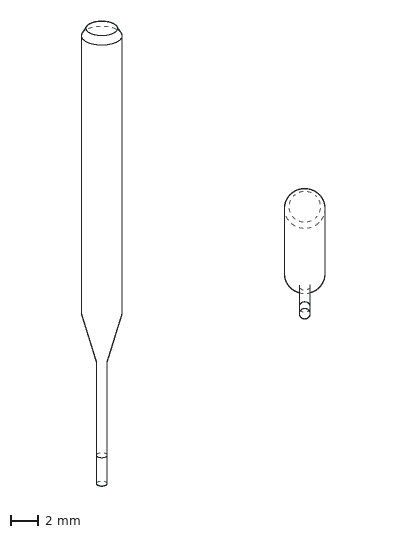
import cadquery as cq

total_length = 38.2
shank_diameter = 3.0
top_chamfer_width = 0.35
top_chamfer_height = 0.6
taper_top_z = 14.45
taper_bottom_z = 10.4
neck_diameter = 0.8
cutter_diameter = 0.8
cutter_length = 2.6
tip_cone_height = 0.23

shank_radius = shank_diameter / 2
neck_radius = neck_diameter / 2
cutter_radius = cutter_diameter / 2
top_face_radius = shank_radius - top_chamfer_width


def revolve_profile(points):
    """Turn a closed (radius, height) outline about the Z axis."""
    return cq.Workplane("XZ").polyline(points).close().revolve(360, (0, 0), (0, 1))


def make_shank():
    """Chamfered cylindrical shank with a taper down to the slim neck."""
    return revolve_profile([
        (0, cutter_length),
        (neck_radius, cutter_length),
        (neck_radius, taper_bottom_z),
        (shank_radius, taper_top_z),
        (shank_radius, total_length - top_chamfer_height),
        (top_face_radius, total_length),
        (0, total_length),
    ])


def make_cutter():
    """Cylindrical cutting end with a shallow conical point."""
    return revolve_profile([
        (0, 0),
        (cutter_radius, tip_cone_height),
        (cutter_radius, cutter_length),
        (0, cutter_length),
    ])


shank = make_shank()
cutter = make_cutter()

result = cq.Compound.makeCompound([shank.val(), cutter.val()])